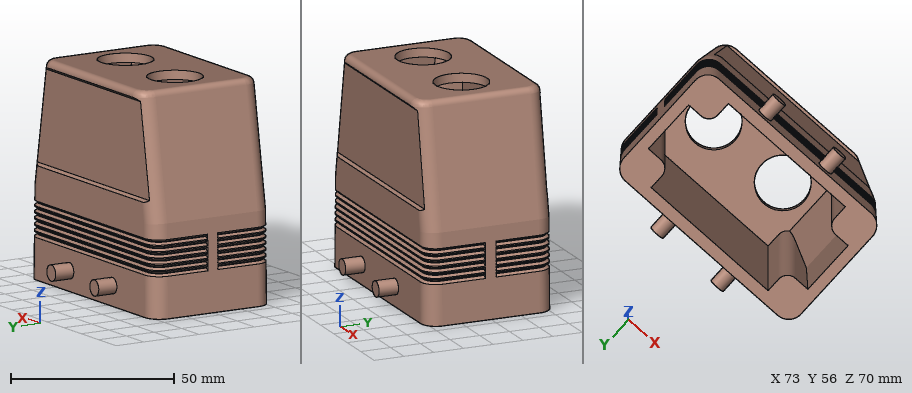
import cadquery as cq

height = 70.0
base_half_length = 36.5
shoulder_half_length = 35.9
shoulder_z = 29.8
top_half_length = 29.0
half_width = 21.45
corner_radius = 5.1
top_edge_radius = 2.2

panel_depth = 0.9
panel_bottom_z = 36.0
panel_top_z = height - top_edge_radius

groove_count = 6
groove_pitch = 2.0
groove_depth = 1.0
groove_mouth = 1.6
groove_root = 0.2
first_groove_z = 14.15
groove_break = 3.65

entry_diameter = 17.4
entry_half_spacing = 14.2

pin_diameter = 5.1
pin_half_spacing = 12.4
pin_z = 6.6
pin_span = 56.0

wall = 2.9
end_wall = 3.65
pillar_x = 24.1
pillar_y = 9.2
pillar_radius = 3.65

margin = 0.7


def end_profile(inset, top_z, half_depth):
    """Hood outline seen along Y, with its ends moved inwards, extruded to both sides of Y = 0."""
    slope = (shoulder_half_length - top_half_length) / (height - shoulder_z)
    top_half = top_half_length + slope * (height - top_z)
    right_side = [
        (base_half_length - inset, 0),
        (shoulder_half_length - inset, shoulder_z),
        (top_half - inset, top_z),
    ]
    left_side = [(-x, z) for x, z in reversed(right_side)]
    return cq.Workplane("XZ").polyline(right_side + left_side).close().extrude(half_depth, both=True)


def outer_shell():
    body = end_profile(0, height, half_width)
    upright_edges = body.edges("not |Y").edges("not |X")
    body = upright_edges.fillet(corner_radius)
    return body.faces(">Z").edges().fillet(top_edge_radius)


def panel_cutter(side):
    """Recess along one long side (side is -1 or 1), closed by 45 degree ramps above and below."""
    floor_y = half_width - panel_depth
    outside_y = half_width + margin
    ramp = outside_y - floor_y
    profile = [
        (side * floor_y, panel_bottom_z + panel_depth),
        (side * outside_y, panel_bottom_z + panel_depth - ramp),
        (side * outside_y, panel_top_z - panel_depth + ramp),
        (side * floor_y, panel_top_z - panel_depth),
    ]
    return cq.Workplane("YZ").polyline(profile).close().extrude(base_half_length, both=True)


def rounded_outline(half_length, offset):
    """Rounded rectangle of the hood's plan, moved outwards by the offset."""
    rectangle = cq.Sketch().rect(2 * (half_length + offset), 2 * (half_width + offset))
    return rectangle.vertices().fillet(corner_radius + offset)


def groove_cutter(z):
    """Ring with a tapering section around the hood, centred at height z."""
    draft = (base_half_length - shoulder_half_length) / shoulder_z
    half_length = base_half_length - draft * z
    flank_slope = (groove_mouth - groove_root) / 2 / groove_depth
    overshoot = 0.15
    root_half = groove_root / 2
    mouth_half = groove_mouth / 2 + flank_slope * overshoot
    flank = mouth_half - root_half

    root = rounded_outline(half_length, -groove_depth)
    mouth = rounded_outline(half_length, overshoot)
    core = cq.Workplane().workplane(offset=z - root_half).placeSketch(root).extrude(groove_root)
    for direction in (-1, 1):
        raised_mouth = mouth.moved(cq.Location(cq.Vector(0, 0, direction * flank)))
        flank_base = cq.Workplane().workplane(offset=z + direction * root_half)
        core = core.union(flank_base.placeSketch(root, raised_mouth).loft(ruled=True))
    slab_length = 2 * (half_length + margin)
    slab_width = 2 * (half_width + margin)
    slab = cq.Workplane().box(slab_length, slab_width, 2 * mouth_half).translate((0, 0, z))
    gap = cq.Workplane().box(slab_length, groove_break, 2 * mouth_half).translate((0, 0, z))
    return slab.cut(core).cut(gap)


def cavity():
    inner_half_width = half_width - panel_depth - wall
    inside = end_profile(end_wall, height - wall, inner_half_width)
    pillar_length = base_half_length - pillar_x
    pillar_width = half_width - pillar_y
    pillar = (
        cq.Workplane()
        .box(pillar_length, pillar_width, height, centered=False)
        .edges("|Z and <X and <Y")
        .fillet(pillar_radius)
        .translate((pillar_x, pillar_y, 0))
    )
    pillar_pair = pillar.union(pillar.mirror("YZ"))
    return inside.cut(pillar_pair).cut(pillar_pair.mirror("XZ"))


def cable_entries():
    return (
        cq.Workplane()
        .workplane(offset=height - wall - margin)
        .pushPoints([(-entry_half_spacing, 0), (entry_half_spacing, 0)])
        .circle(entry_diameter / 2)
        .extrude(wall + 2 * margin)
    )


def locking_pins(side):
    """Pins standing out from one long side, rooted within its wall."""
    root_y = half_width - wall / 2
    return (
        cq.Workplane("XZ", origin=(0, side * root_y, pin_z))
        .pushPoints([(-pin_half_spacing, 0), (pin_half_spacing, 0)])
        .circle(pin_diameter / 2)
        .extrude(-side * (pin_span / 2 - root_y))
    )


hood = outer_shell()
for side in (-1, 1):
    hood = hood.cut(panel_cutter(side))
for index in range(groove_count):
    hood = hood.cut(groove_cutter(first_groove_z + index * groove_pitch))
hood = hood.cut(cavity()).cut(cable_entries())
for side in (-1, 1):
    hood = hood.union(locking_pins(side))

result = hood